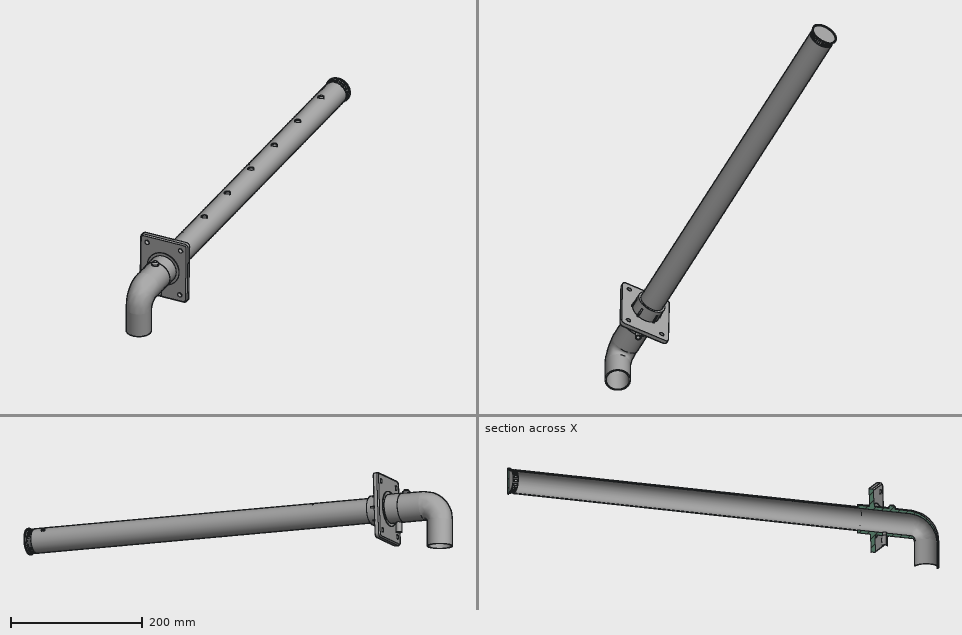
import cadquery as cq
import math


TUBE_RADIUS = 19.0
WALL = 2.0
TUBE_BORE_RADIUS = TUBE_RADIUS - WALL
FAR_END_Y = 595.6
SPRAY_HOLE_DIAMETER = 10.0
SPRAY_HOLE_COUNT = 6
SPRAY_HOLE_PITCH = 80.0
FIRST_SPRAY_HOLE_Y = FAR_END_Y - 60.0

LIP_RADIUS = 20.5
LIP_THICKNESS = 1.5
CAP_THICKNESS = 3.0
NECK_RADIUS = 18.6
NECK_END_Y = FAR_END_Y - 11.0
VENT_COUNT = 18
VENT_WIDTH = 3.2
VENT_LENGTH = 5.5
VENT_Y = FAR_END_Y - 7.5
PIN_HOLE_DIAMETER = 6.0
PIN_HOLE_Y = FAR_END_Y - 29.0
PIN_HOLE_ANGLE = -45.0

PLATE_WIDTH = 80.49
PLATE_HEIGHT = 101.0
PLATE_THICKNESS = 8.0
PLATE_TILT = 1.9
PLATE_CORNER_RADIUS = 6.0
PLATE_CHAMFER = 2.0
BOLT_SPACING_X = 57.0
BOLT_SPACING_Z = 76.5
BOLT_HOLE_DIAMETER = 7.0
COLLAR_RADIUS = 27.0
COLLAR_HEIGHT = 1.0

SLEEVE_RADIUS = 22.5
SLEEVE_BACK_Y = 24.5
SLEEVE_FRONT_Y = -26.5
RIB_ANGLES = (0, 55, 125, 180, 235, 305)
RIB_LENGTH = 14.0
RIB_HEIGHT = 2.0
RIB_THICKNESS = 2.5

ELBOW_RADIUS = 22.2
OUTLET_RADIUS = 19.5
OUTLET_Y = -88.0
OUTLET_END_Z = -64.69
BEND_RADIUS = 25.5
BEND_START_Y = OUTLET_Y + BEND_RADIUS

DRAIN_RADIUS = 4.5
DRAIN_BORE_RADIUS = 3.0
DRAIN_Y = -20.0
DRAIN_END_Z = -37.5
PLUG_Y = -32.0
PLUG_RADIUS = 5.5
PLUG_TIP_RADIUS = 3.0
PLUG_SHOULDER_Z = 24.5
PLUG_TOP_Z = 27.3


def cylinder_y(radius, y_start, y_end):
    """Cylinder about the Y axis between two Y positions."""
    return cq.Workplane("XZ", origin=(0, y_start, 0)).circle(radius).extrude(y_start - y_end)


def cylinder_z(radius, y, z_start, z_end):
    """Vertical cylinder at X = 0 between two heights."""
    return cq.Workplane("XY", origin=(0, y, z_start)).circle(radius).extrude(z_end - z_start)


def turn_from_top(shape, angle):
    """Turn a shape about the tube axis, from +Z toward +X."""
    return shape.rotate((0, 0, 0), (0, 1, 0), angle)


def elbow(inlet_radius, outlet_radius):
    """Straight inlet, quarter bend tapering in radius, and straight outlet."""
    half = math.sqrt(0.5) * BEND_RADIUS
    bend_middle = (OUTLET_Y + BEND_RADIUS - half, half - BEND_RADIUS)
    path = (
        cq.Workplane("YZ")
        .moveTo(BEND_START_Y, 0)
        .threePointArc(bend_middle, (OUTLET_Y, -BEND_RADIUS))
    )
    bend = (
        cq.Workplane("XZ", origin=(0, BEND_START_Y, 0))
        .circle(inlet_radius)
        .workplane()
        .transformed(rotate=(-90, 0, 0), offset=(0, -BEND_RADIUS, BEND_RADIUS))
        .circle(outlet_radius)
        .sweep(path, multisection=True)
    )
    inlet = cylinder_y(inlet_radius, BEND_START_Y, SLEEVE_FRONT_Y)
    outlet = cylinder_z(outlet_radius, OUTLET_Y, OUTLET_END_Z, -BEND_RADIUS)
    return inlet.union(bend).union(outlet)


def mounting_plate():
    """Rounded plate with chamfered front edge, bolt holes and raised front collar."""
    front_y = -PLATE_THICKNESS / 2
    plate = (
        cq.Workplane("XY")
        .box(PLATE_WIDTH, PLATE_THICKNESS, PLATE_HEIGHT)
        .edges("|Y")
        .fillet(PLATE_CORNER_RADIUS)
        .faces("<Y")
        .chamfer(PLATE_CHAMFER)
        .faces("<Y")
        .workplane(centerOption="CenterOfBoundBox")
        .rect(BOLT_SPACING_X, BOLT_SPACING_Z, forConstruction=True)
        .vertices()
        .hole(BOLT_HOLE_DIAMETER)
    )
    plate = plate.union(cylinder_y(COLLAR_RADIUS, front_y - COLLAR_HEIGHT, 0))
    return plate.rotate((0, 0, 0), (1, 0, 0), -PLATE_TILT)


def sleeve_ribs():
    """Tapered ribs bracing the back of the plate against the sleeve."""
    rib_tip_y = PLATE_THICKNESS / 2 + RIB_LENGTH
    profile = (
        cq.Workplane("XY")
        .moveTo(TUBE_RADIUS, 0)
        .lineTo(SLEEVE_RADIUS + RIB_HEIGHT, 0)
        .lineTo(SLEEVE_RADIUS + RIB_HEIGHT, PLATE_THICKNESS / 2)
        .lineTo(SLEEVE_RADIUS, rib_tip_y)
        .lineTo(TUBE_RADIUS, rib_tip_y)
        .close()
        .extrude(RIB_THICKNESS / 2, both=True)
    )
    ribs = cq.Workplane("XY")
    for angle in RIB_ANGLES:
        ribs = ribs.union(turn_from_top(profile, -angle))
    return ribs


def top_plug():
    """Round plug with a conical tip on top of the elbow."""
    plug = cylinder_z(PLUG_RADIUS, PLUG_Y, TUBE_RADIUS, PLUG_TOP_Z)
    return plug.faces(">Z").chamfer(PLUG_TOP_Z - PLUG_SHOULDER_Z, PLUG_RADIUS - PLUG_TIP_RADIUS)


def tube_openings():
    """Spray holes along the top, vent slots around the cap neck and one pin hole."""
    drill_end = 2 * TUBE_RADIUS
    pin_hole = cylinder_z(PIN_HOLE_DIAMETER / 2, PIN_HOLE_Y, 0, drill_end)
    openings = turn_from_top(pin_hole, PIN_HOLE_ANGLE)
    for index in range(SPRAY_HOLE_COUNT):
        hole_y = FIRST_SPRAY_HOLE_Y - index * SPRAY_HOLE_PITCH
        openings = openings.union(cylinder_z(SPRAY_HOLE_DIAMETER / 2, hole_y, 0, drill_end))
    vent = (
        cq.Workplane("XY", origin=(0, VENT_Y, 0))
        .rect(VENT_WIDTH, VENT_LENGTH)
        .extrude(drill_end)
    )
    for index in range(VENT_COUNT):
        openings = openings.union(turn_from_top(vent, index * 360 / VENT_COUNT))
    return openings


body = cylinder_y(TUBE_RADIUS, SLEEVE_FRONT_Y, NECK_END_Y)
body = body.union(cylinder_y(NECK_RADIUS, NECK_END_Y, FAR_END_Y))
body = body.union(cylinder_y(LIP_RADIUS, FAR_END_Y - LIP_THICKNESS, FAR_END_Y))
body = body.union(cylinder_y(SLEEVE_RADIUS, SLEEVE_FRONT_Y, SLEEVE_BACK_Y))
body = body.union(elbow(ELBOW_RADIUS, OUTLET_RADIUS))
body = body.union(mounting_plate())
body = body.union(sleeve_ribs())
body = body.union(cylinder_z(DRAIN_RADIUS, DRAIN_Y, DRAIN_END_Z, -TUBE_RADIUS))
body = body.union(top_plug())

body = body.cut(cylinder_y(TUBE_BORE_RADIUS, SLEEVE_FRONT_Y, FAR_END_Y - CAP_THICKNESS))
body = body.cut(elbow(TUBE_BORE_RADIUS, OUTLET_RADIUS - WALL))
body = body.cut(cylinder_z(DRAIN_BORE_RADIUS, DRAIN_Y, DRAIN_END_Z, 0))
result = body.cut(tube_openings())